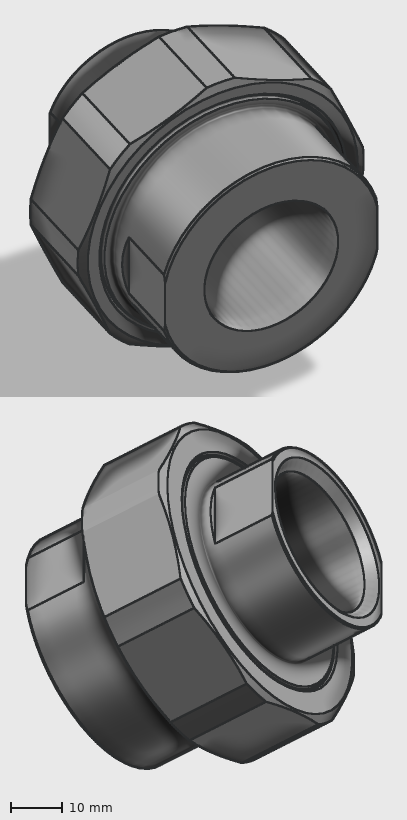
import cadquery as cq
import math


TOTAL_LENGTH = 55.5
NUT_START = 16.35
NUT_LENGTH = 20.25
NUT_END = NUT_START + NUT_LENGTH
NECK_FACE = 16.4
THREAD_FACE = 37.0
NUT_LIP = 3.9
COLLAR_LENGTH = 3.9
COLLAR_START = NUT_START + NUT_LIP
JOINT = COLLAR_START + COLLAR_LENGTH

BORE_DIAMETER = 30.3

TAIL_DIAMETER = 39.0
NECK_DIAMETER = 50.0
COLLAR_DIAMETER = 54.0
MOUTH_CHAMFER = 2.1
TAIL_EDGE_CHAMFER = 0.25
NECK_EDGE_CHAMFER = 0.4
TAIL_FILLET = 0.4
TAIL_FLAT_OFFSET = 18.0
TAIL_FLAT_LENGTH = 14.0

BODY_DIAMETER = 50.0
THREAD_DIAMETER = 54.0
BODY_FILLET = 0.8
BODY_EDGE_CHAMFER = 0.45
BODY_FLAT_OFFSET = 24.0
BODY_FLAT_LENGTH = 14.05

NUT_SIDES = 8
NUT_CORNER_DIAMETER = 64.7
NUT_ACROSS_FLATS = 61.9
NUT_FACE_DIAMETER = 61.05
NUT_CHAMFER_LENGTH = 0.85
NUT_NECK_BORE = 50.5
NUT_NECK_BORE_CHAMFER = 0.45
NUT_THREAD_BORE = 54.4
NUT_THREAD_MOUTH = 55.8


def revolve_about_x(profile):
    """Turn a closed (x, radius) profile about the X axis."""
    return profile.close().revolve(360, (0, 0, 0), (1, 0, 0))


def flat_cutters(profile):
    """Pair of cutters for wrench flats, from an (x, y) profile on the +Y side."""
    cutter = profile.close().extrude(BODY_DIAMETER / 2, both=True)
    return cutter, cutter.mirror("XZ")


def make_tailpiece():
    tail = TAIL_DIAMETER / 2
    neck = NECK_DIAMETER / 2
    collar = COLLAR_DIAMETER / 2
    bore = BORE_DIAMETER / 2
    profile = (
        cq.Workplane("XY")
        .moveTo(0, bore + MOUTH_CHAMFER)
        .lineTo(0, tail - TAIL_EDGE_CHAMFER)
        .lineTo(TAIL_EDGE_CHAMFER, tail)
        .lineTo(NECK_FACE - TAIL_FILLET, tail)
        .radiusArc((NECK_FACE, tail + TAIL_FILLET), -TAIL_FILLET)
        .lineTo(NECK_FACE, neck - NECK_EDGE_CHAMFER)
        .lineTo(NECK_FACE + NECK_EDGE_CHAMFER, neck)
        .lineTo(COLLAR_START, neck)
        .lineTo(COLLAR_START, collar)
        .lineTo(JOINT, collar)
        .lineTo(JOINT, bore)
        .lineTo(MOUTH_CHAMFER, bore)
    )
    tailpiece = revolve_about_x(profile)

    flat_profile = (
        cq.Workplane("XY")
        .moveTo(0, TAIL_FLAT_OFFSET)
        .lineTo(TAIL_FLAT_LENGTH, TAIL_FLAT_OFFSET)
        .lineTo(TAIL_FLAT_LENGTH, tail)
        .lineTo(0, tail)
    )
    for cutter in flat_cutters(flat_profile):
        tailpiece = tailpiece.cut(cutter)
    return tailpiece


def make_threaded_end():
    body = BODY_DIAMETER / 2
    thread = THREAD_DIAMETER / 2
    bore = BORE_DIAMETER / 2
    profile = (
        cq.Workplane("XY")
        .moveTo(JOINT, bore)
        .lineTo(JOINT, thread)
        .lineTo(THREAD_FACE, thread)
        .lineTo(THREAD_FACE, body + BODY_FILLET)
        .radiusArc((THREAD_FACE + BODY_FILLET, body), -BODY_FILLET)
        .lineTo(TOTAL_LENGTH - BODY_EDGE_CHAMFER, body)
        .lineTo(TOTAL_LENGTH, body - BODY_EDGE_CHAMFER)
        .lineTo(TOTAL_LENGTH, bore)
    )
    threaded_end = revolve_about_x(profile)

    flat_start = TOTAL_LENGTH - BODY_FLAT_LENGTH
    flat_depth = body - BODY_FLAT_OFFSET
    flat_profile = (
        cq.Workplane("XY")
        .moveTo(TOTAL_LENGTH, BODY_FLAT_OFFSET)
        .lineTo(flat_start, BODY_FLAT_OFFSET)
        .lineTo(flat_start - flat_depth, body)
        .lineTo(TOTAL_LENGTH, body)
    )
    for cutter in flat_cutters(flat_profile):
        threaded_end = threaded_end.cut(cutter)
    return threaded_end


def make_nut():
    corner = NUT_CORNER_DIAMETER / 2
    face = NUT_FACE_DIAMETER / 2
    neck_bore = NUT_NECK_BORE / 2
    thread_bore = NUT_THREAD_BORE / 2
    thread_mouth = NUT_THREAD_MOUTH / 2
    profile = (
        cq.Workplane("XY")
        .moveTo(NUT_START, neck_bore + NUT_NECK_BORE_CHAMFER)
        .lineTo(NUT_START, face)
        .lineTo(NUT_START + NUT_CHAMFER_LENGTH, corner)
        .lineTo(NUT_END - NUT_CHAMFER_LENGTH, corner)
        .lineTo(NUT_END, face)
        .lineTo(NUT_END, thread_mouth)
        .lineTo(NUT_END - (thread_mouth - thread_bore), thread_bore)
        .lineTo(COLLAR_START, thread_bore)
        .lineTo(COLLAR_START, neck_bore)
        .lineTo(NUT_START + NUT_NECK_BORE_CHAMFER, neck_bore)
    )
    blank = revolve_about_x(profile)

    across_corners = NUT_ACROSS_FLATS / math.cos(math.pi / NUT_SIDES)
    octagon = (
        cq.Workplane("YZ", origin=(NUT_START, 0, 0))
        .polygon(NUT_SIDES, across_corners)
        .extrude(NUT_LENGTH)
    )
    return blank.intersect(octagon)


tailpiece = make_tailpiece()
threaded_end = make_threaded_end()
nut = make_nut()

bodies = [tailpiece, threaded_end, nut]
result = cq.Compound.makeCompound([body.solids().val() for body in bodies])